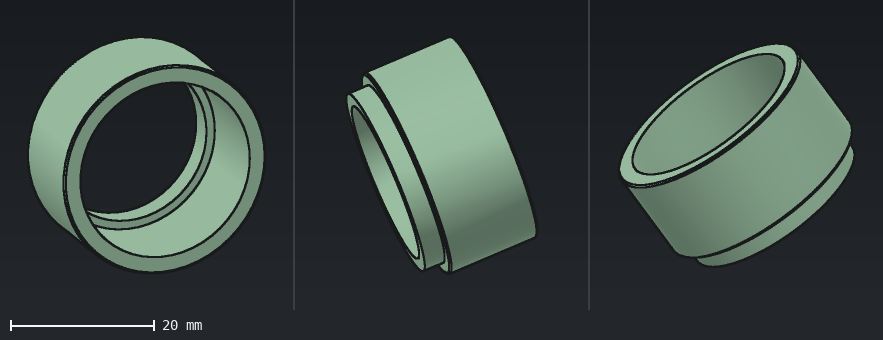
import cadquery as cq

total_length = 16.51
spigot_length = 3.048
lip_length = 3.81

body_diameter = 30.48
spigot_diameter = 26.9
lip_bore_diameter = 23.0
main_bore_diameter = 25.5

rim_chamfer = 0.254


def cylinder_along_x(diameter, start_x, end_x):
    """Solid cylinder on the X axis between two X positions."""
    profile = cq.Workplane("YZ").workplane(offset=start_x).circle(diameter / 2)
    return profile.extrude(end_x - start_x)


def make_body():
    """Large ring body with both outer rims chamfered."""
    body = cylinder_along_x(body_diameter, spigot_length, total_length)
    return body.faces("<X or >X").edges().chamfer(rim_chamfer)


def make_spigot():
    """Reduced-diameter spigot on the -X end, up to the body shoulder."""
    return cylinder_along_x(spigot_diameter, 0, spigot_length)


def make_stepped_bore():
    """Through bore: narrow at the -X lip, wider through the rest of the ring."""
    lip_bore = cylinder_along_x(lip_bore_diameter, 0, lip_length)
    main_bore = cylinder_along_x(main_bore_diameter, lip_length, total_length)
    return lip_bore.union(main_bore)


result = make_body().union(make_spigot()).cut(make_stepped_bore())